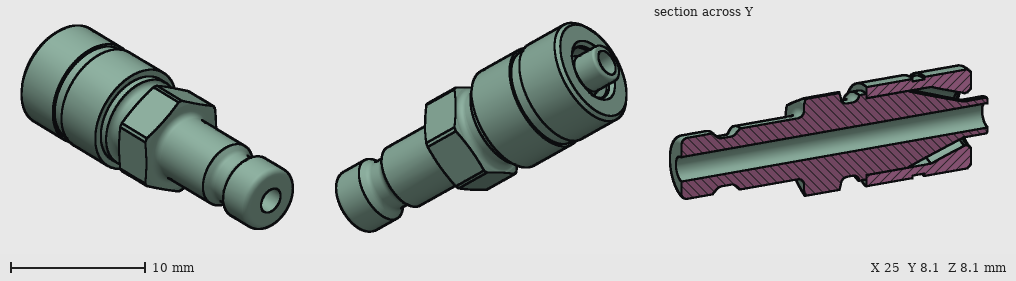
import cadquery as cq
import math

LENGTH = 25.0
SLEEVE_START = 1.35
SLEEVE_END = 9.9
COLLAR_END = 10.5
HEX_START = 11.95
HEX_END = 15.0

SLEEVE_R = 8.1 / 2
SLEEVE_MOUTH_R = 4.25 / 2
SLEEVE_BORE_R = 6.2 / 2
MOUTH_LAND = 0.25
SLEEVE_CHAMFER = 0.3
GROOVE_R = 7.7 / 2
GROOVE_START = 5.15
GROOVE_END = 6.12

THROUGH_BORE_R = 1.95 / 2
TIP_R = 2.95 / 2
TIP_ROUND = 0.2
CONE_START = 1.95
CONE_SLOPE = 0.36

COLLAR_R = 7.0 / 2
NECK_R = 6.0 / 2
BLEND_R = 0.5
HEX_FLATS = 7.0
HEX_CORNER_R = 3.95
HEX_END_BEVEL = 0.12

SHAFT_R = 5.0 / 2
SHAFT_END_ROUND = 0.5
LOCK_GROOVE_R = 3.95 / 2
LOCK_GROOVE_START = 20.2
LOCK_GROOVE_END = 22.45
LOCK_BLEND = 0.75
COS45 = math.cos(math.radians(45))
TAN22 = math.tan(math.radians(22.5))

LOCK_FLANK = (SHAFT_R - LOCK_GROOVE_R - LOCK_BLEND * TAN22) / (1 - TAN22)


def revolve(profile):
    """Turn a closed half profile, drawn in the XY plane, about the X axis."""
    return profile.close().revolve(360, (0, 0, 0), (1, 0, 0))


def make_sleeve():
    """Sleeve whose narrow mouth flares into the bore, leaving a tapered gap around the nipple."""
    flare_start = SLEEVE_START + SLEEVE_CHAMFER + MOUTH_LAND
    flare_end = flare_start + (SLEEVE_BORE_R - SLEEVE_MOUTH_R) / CONE_SLOPE
    profile = (
        cq.Workplane("XY")
        .moveTo(SLEEVE_START, SLEEVE_MOUTH_R + SLEEVE_CHAMFER)
        .lineTo(SLEEVE_START, SLEEVE_R - SLEEVE_CHAMFER)
        .lineTo(SLEEVE_START + SLEEVE_CHAMFER, SLEEVE_R)
        .lineTo(GROOVE_START, SLEEVE_R)
        .lineTo(GROOVE_START, GROOVE_R)
        .lineTo(GROOVE_END, GROOVE_R)
        .lineTo(GROOVE_END, SLEEVE_R)
        .lineTo(SLEEVE_END, SLEEVE_R)
        .lineTo(SLEEVE_END, SLEEVE_BORE_R)
        .lineTo(flare_end, SLEEVE_BORE_R)
        .lineTo(flare_start, SLEEVE_MOUTH_R)
        .lineTo(SLEEVE_START + SLEEVE_CHAMFER, SLEEVE_MOUTH_R)
    )
    return revolve(profile)


def make_turned_plug():
    """Round parts of the plug: nipple, collar, neck and shaft, still without the hexagon."""
    cone_end = CONE_START + (SLEEVE_BORE_R - TIP_R) / CONE_SLOPE
    neck_arc_start = (COLLAR_END + BLEND_R * (1 - COS45), COLLAR_R - BLEND_R * COS45)
    neck_arc_end = (HEX_START - BLEND_R * (1 - COS45), COLLAR_R - BLEND_R * COS45)
    shaft_arc = (HEX_END + BLEND_R * (1 - COS45), SHAFT_R + BLEND_R * (1 - COS45))
    tip_arc = (TIP_ROUND * (1 - COS45), TIP_R - TIP_ROUND * (1 - COS45))
    end_arc = (LENGTH - SHAFT_END_ROUND * (1 - COS45), SHAFT_R - SHAFT_END_ROUND * (1 - COS45))
    flank_r = SHAFT_R - LOCK_FLANK
    profile = (
        cq.Workplane("XY")
        .moveTo(0, THROUGH_BORE_R)
        .lineTo(0, TIP_R - TIP_ROUND)
        .threePointArc(tip_arc, (TIP_ROUND, TIP_R))
        .lineTo(CONE_START, TIP_R)
        .lineTo(cone_end, SLEEVE_BORE_R)
        .lineTo(SLEEVE_END, SLEEVE_BORE_R)
        .lineTo(SLEEVE_END, COLLAR_R)
        .lineTo(COLLAR_END, COLLAR_R)
        .threePointArc(neck_arc_start, (COLLAR_END + BLEND_R, NECK_R))
        .lineTo(HEX_START - BLEND_R, NECK_R)
        .threePointArc(neck_arc_end, (HEX_START, COLLAR_R))
        .lineTo(HEX_END, COLLAR_R)
        .lineTo(HEX_END, SHAFT_R + BLEND_R)
        .threePointArc(shaft_arc, (HEX_END + BLEND_R, SHAFT_R))
        .lineTo(LOCK_GROOVE_START, SHAFT_R)
        .lineTo(LOCK_GROOVE_START + LOCK_FLANK, flank_r)
        .tangentArcPoint((LOCK_GROOVE_START + LOCK_BLEND, LOCK_GROOVE_R), relative=False)
        .lineTo(LOCK_GROOVE_END - LOCK_BLEND, LOCK_GROOVE_R)
        .tangentArcPoint((LOCK_GROOVE_END - LOCK_FLANK, flank_r), relative=False)
        .lineTo(LOCK_GROOVE_END, SHAFT_R)
        .lineTo(LENGTH - SHAFT_END_ROUND, SHAFT_R)
        .threePointArc(end_arc, (LENGTH, SHAFT_R - SHAFT_END_ROUND))
        .lineTo(LENGTH, THROUGH_BORE_R)
    )
    return revolve(profile)


def make_hexagon():
    """Hexagon with flats facing +Y and -Y, its corners and ends trimmed by a turned envelope."""
    corner_diameter = HEX_FLATS / math.cos(math.radians(30))
    prism = (
        cq.Workplane("YZ", origin=(HEX_START, 0, 0))
        .transformed(rotate=(0, 0, 90))
        .polygon(6, corner_diameter)
        .extrude(HEX_END - HEX_START)
    )
    envelope = revolve(
        cq.Workplane("XY")
        .moveTo(HEX_START, THROUGH_BORE_R)
        .lineTo(HEX_START, COLLAR_R)
        .lineTo(HEX_START + HEX_END_BEVEL, HEX_CORNER_R)
        .lineTo(HEX_END - HEX_END_BEVEL, HEX_CORNER_R)
        .lineTo(HEX_END, COLLAR_R)
        .lineTo(HEX_END, THROUGH_BORE_R)
    )
    return prism.intersect(envelope)


sleeve = make_sleeve()
plug = make_turned_plug().union(make_hexagon())

result = cq.Compound.makeCompound([sleeve.val(), plug.val()])